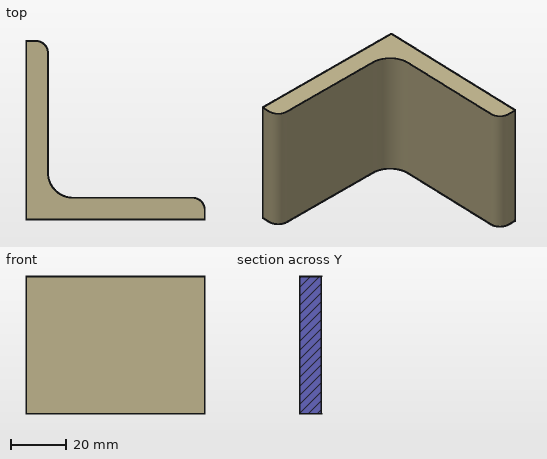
import cadquery as cq

leg_length = 65.0
leg_thickness = 8.0
section_length = 50.0
root_radius = 9.0
toe_radius = root_radius / 2


def angle_blank():
    """Sharp-edged L section with its outer corner at the origin."""
    return (
        cq.Workplane("XY")
        .moveTo(0, 0)
        .lineTo(leg_length, 0)
        .lineTo(leg_length, leg_thickness)
        .lineTo(leg_thickness, leg_thickness)
        .lineTo(leg_thickness, leg_length)
        .lineTo(0, leg_length)
        .close()
        .extrude(section_length)
    )


def round_vertical_edge(body, x, y, radius):
    """Fillet the vertical edge nearest to the point (x, y)."""
    edge_middle = (x, y, section_length / 2)
    return body.edges(cq.selectors.NearestToPointSelector(edge_middle)).fillet(radius)


result = angle_blank()

result = round_vertical_edge(result, leg_thickness, leg_thickness, root_radius)

result = round_vertical_edge(result, leg_length, leg_thickness, toe_radius)
result = round_vertical_edge(result, leg_thickness, leg_length, toe_radius)